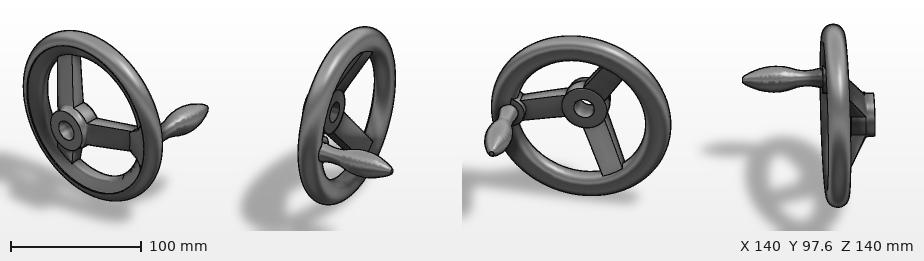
import cadquery as cq
import math


RIM_DIAMETER = 140.0
LIP_DIAMETER = 123.0
RIM_FRONT_Y = 21.0
RIM_ROUND = (RIM_DIAMETER - LIP_DIAMETER) / 2
RIM_BACK_Y = RIM_FRONT_Y + 2 * RIM_ROUND
LIP_DEPTH = 0.9
LIP_DRAFT = 0.3
LIP_Y = RIM_FRONT_Y + LIP_DEPTH
RIM_INNER_RADIUS = 50.5
DISH_SLOPE = 0.42
NOSE_RADIUS = 4.4

BORE_DIAMETER = 16.0
HUB_COLLAR_DIAMETER = 33.0
HUB_DIAMETER = 35.2
COLLAR_LENGTH = 4.6
FLARE_RADIUS = 3.3
HUB_BACK_Y = 19.0
HUB_BACK_ROUND = 0.9

SPOKE_COUNT = 3
SPOKE_OUTER_RADIUS = 58.0
SPOKE_AXIS_WIDTH = 19.6
SPOKE_OUTER_WIDTH = 17.6
SPOKE_FRONT_SLOPE = 0.527
SPOKE_BACK_SLOPE = 0.47
SPOKE_ROOT_BACK_Y = 18.2

HANDLE_OFFSET = 55.0
PAD_RADIUS = 12.0
PAD_BLEND_RADIUS = 10.0
PAD_WALL_RADIUS = 60.7
PAD_FRONT_Y = LIP_Y + DISH_SLOPE * (LIP_DIAMETER / 2 - LIP_DRAFT - PAD_WALL_RADIUS)
PAD_BACK_Y = 36.5

HANDLE_BASE_DIAMETER = 14.5
HANDLE_BASE_LENGTH = 1.2
NECK_DIAMETER = 11.8
NECK_Y = 47.5
GRIP_START_DIAMETER = 13.8
GRIP_START_Y = 56.9
GRIP_DIAMETER = 20.0
GRIP_WIDEST_Y = 71.5
TIP_DIAMETER = 7.0
TIP_Y = 95.6
END_DIAMETER = 3.8
END_Y = 97.6


def make_rim():
    """Half-round outer rim with a stepped, dished front and a rounded inner edge."""
    lip_radius = LIP_DIAMETER / 2
    dish_outer_r = lip_radius - LIP_DRAFT
    nose_r = RIM_INNER_RADIUS + NOSE_RADIUS
    dish_angle = math.atan(DISH_SLOPE)
    touch_r = nose_r - NOSE_RADIUS * math.sin(dish_angle)
    touch_y = LIP_Y + DISH_SLOPE * (dish_outer_r - touch_r)
    nose_y = touch_y + NOSE_RADIUS * math.cos(dish_angle)
    back_radius = RIM_BACK_Y - nose_y
    return (
        cq.Workplane("XY")
        .moveTo(lip_radius, RIM_FRONT_Y)
        .threePointArc((RIM_DIAMETER / 2, RIM_FRONT_Y + RIM_ROUND), (lip_radius, RIM_BACK_Y))
        .lineTo(RIM_INNER_RADIUS + back_radius, RIM_BACK_Y)
        .radiusArc((RIM_INNER_RADIUS, nose_y), -back_radius)
        .radiusArc((touch_r, touch_y), -NOSE_RADIUS)
        .lineTo(dish_outer_r, LIP_Y)
        .close()
        .revolve(360, (0, 0, 0), (0, 1, 0))
    )


def make_web():
    """Conical disc from which the spokes and the front of the hub are cut."""
    collar_radius = HUB_COLLAR_DIAMETER / 2
    flare_turn = math.pi / 2 - math.atan(SPOKE_FRONT_SLOPE)
    flare_end_radius = collar_radius + FLARE_RADIUS * (1 - math.cos(flare_turn))
    flare_end_y = COLLAR_LENGTH + FLARE_RADIUS * math.sin(flare_turn)
    root_radius = HUB_DIAMETER / 2
    outer_front_y = flare_end_y + SPOKE_FRONT_SLOPE * (SPOKE_OUTER_RADIUS - flare_end_radius)
    outer_back_y = SPOKE_ROOT_BACK_Y + SPOKE_BACK_SLOPE * (SPOKE_OUTER_RADIUS - root_radius)
    return (
        cq.Workplane("XY")
        .lineTo(collar_radius, 0)
        .lineTo(collar_radius, COLLAR_LENGTH)
        .radiusArc((flare_end_radius, flare_end_y), FLARE_RADIUS)
        .lineTo(SPOKE_OUTER_RADIUS, outer_front_y)
        .lineTo(SPOKE_OUTER_RADIUS, outer_back_y)
        .lineTo(root_radius, SPOKE_ROOT_BACK_Y)
        .lineTo(0, SPOKE_ROOT_BACK_Y)
        .close()
        .revolve(360, (0, 0, 0), (0, 1, 0))
    )


def make_spoke_plan(angle):
    """Prism along Y over the outline of one spoke, which narrows slightly outwards."""
    plan_end = SPOKE_OUTER_RADIUS + SPOKE_OUTER_WIDTH
    width_loss = (SPOKE_AXIS_WIDTH - SPOKE_OUTER_WIDTH) * plan_end / SPOKE_OUTER_RADIUS
    end_width = SPOKE_AXIS_WIDTH - width_loss
    return (
        cq.Workplane("XZ")
        .moveTo(0, -SPOKE_AXIS_WIDTH / 2)
        .lineTo(plan_end, -end_width / 2)
        .lineTo(plan_end, end_width / 2)
        .lineTo(0, SPOKE_AXIS_WIDTH / 2)
        .close()
        .extrude(-RIM_BACK_Y)
        .rotate((0, 0, 0), (0, 1, 0), angle)
    )


def make_hub_and_spokes():
    """Hub body with the web trimmed to the hub outline and the spoke outlines."""
    plan = cq.Workplane("XZ").circle(HUB_DIAMETER / 2).extrude(-RIM_BACK_Y)
    for index in range(SPOKE_COUNT):
        plan = plan.union(make_spoke_plan(index * 360 / SPOKE_COUNT))
    body_start_y = COLLAR_LENGTH + FLARE_RADIUS
    body = (
        cq.Workplane("XZ", origin=(0, body_start_y, 0))
        .circle(HUB_DIAMETER / 2)
        .extrude(body_start_y - HUB_BACK_Y)
        .faces(">Y")
        .edges()
        .fillet(HUB_BACK_ROUND)
    )
    return make_web().intersect(plan).union(body)


def make_pad():
    """Handle pad: a disc round the handle axis, blended tangentially to the rim wall."""
    wall_radius = PAD_WALL_RADIUS
    blend_from_axis = wall_radius - PAD_BLEND_RADIUS
    blend_from_handle = PAD_RADIUS + PAD_BLEND_RADIUS
    blend_x = (blend_from_axis**2 + HANDLE_OFFSET**2 - blend_from_handle**2) / (2 * HANDLE_OFFSET)
    blend_z = math.sqrt(blend_from_axis**2 - blend_x**2)
    wall_x = blend_x * wall_radius / blend_from_axis
    wall_z = blend_z * wall_radius / blend_from_axis
    disc_x = HANDLE_OFFSET + (blend_x - HANDLE_OFFSET) * PAD_RADIUS / blend_from_handle
    disc_z = blend_z * PAD_RADIUS / blend_from_handle
    chord_x = (wall_x + disc_x) / 2 - blend_x
    chord_z = (wall_z + disc_z) / 2 - blend_z
    reach = PAD_BLEND_RADIUS / math.hypot(chord_x, chord_z)
    middle_x = blend_x + reach * chord_x
    middle_z = blend_z + reach * chord_z
    return (
        cq.Workplane("XZ", origin=(0, PAD_FRONT_Y, 0))
        .moveTo(wall_x, -wall_z)
        .threePointArc((LIP_DIAMETER / 2, 0), (wall_x, wall_z))
        .threePointArc((middle_x, middle_z), (disc_x, disc_z))
        .threePointArc((HANDLE_OFFSET - PAD_RADIUS, 0), (disc_x, -disc_z))
        .threePointArc((middle_x, -middle_z), (wall_x, -wall_z))
        .close()
        .extrude(PAD_FRONT_Y - PAD_BACK_Y)
    )


def make_handle():
    """Turned handle with a waisted neck and a barrel grip, rooted in the rim."""
    base_end_y = RIM_BACK_Y + HANDLE_BASE_LENGTH
    base_radius = HANDLE_BASE_DIAMETER / 2
    return (
        cq.Workplane("XY")
        .moveTo(0, RIM_FRONT_Y + RIM_ROUND)
        .lineTo(base_radius, RIM_FRONT_Y + RIM_ROUND)
        .lineTo(base_radius, base_end_y)
        .threePointArc((NECK_DIAMETER / 2, NECK_Y), (GRIP_START_DIAMETER / 2, GRIP_START_Y))
        .spline(
            [(GRIP_DIAMETER / 2, GRIP_WIDEST_Y), (TIP_DIAMETER / 2, TIP_Y)],
            includeCurrent=True,
        )
        .lineTo(END_DIAMETER / 2, END_Y)
        .lineTo(0, END_Y)
        .close()
        .revolve(360, (0, 0, 0), (0, 1, 0))
        .translate((HANDLE_OFFSET, 0, 0))
    )


bore = cq.Workplane("XZ").circle(BORE_DIAMETER / 2).extrude(-HUB_BACK_Y)
wheel = make_hub_and_spokes().union(make_pad()).union(make_rim())
result = wheel.union(make_handle()).cut(bore)